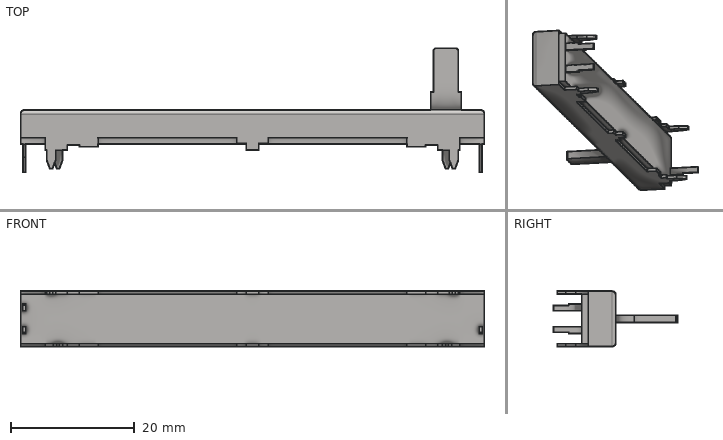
import cadquery as cq


total_depth = 20.1

length = 75.0
height = 9.0
cover_depth = 4.5
cover_fillet = 0.7
skirt_thickness = 0.5

center_tab_half_width = 1.05
center_shoulder_half_width = 2.55
center_shoulder_depth = 5.4
crimp_inner = 25.0
crimp_outer = 28.0
crimp_depth = 6.0
bridge_depth = 5.7
block_inner = 29.9
block_outer = 33.5
block_depth = 6.5

leg_width = 1.5
leg_tip_width = 0.45
leg_taper_depth = 8.1
leg_tip_depth = 9.5
upper_leg_center = 32.55
lower_leg_center = 31.4

base_front_depth = 5.55
base_height = height - 2 * skirt_thickness

pin_thickness = 0.45
pin_end_gap = 0.4
pin_inner_z = 1.3
pin_root_width = 1.1
pin_tip_width = 0.9
pin_step_depth = 7.65
pin_tip_depth = 10.1

lever_center_x = 31.3
lever_thickness = 1.2
foot_width = 4.95
foot_length = 2.9
lever_width = 4.05
lever_length = total_depth - pin_tip_depth
lever_chamfer = 0.3


def plate_outline(points, thickness, middle_z):
    """Plate with the given XY outline, centred on middle_z."""
    sketch = cq.Workplane("XY").workplane(offset=middle_z - thickness / 2)
    return sketch.polyline(points).close().extrude(thickness)


def make_leg(center_x, middle_z):
    """Snap-in leg with a tapered tip."""
    half_width = leg_width / 2
    half_tip = leg_tip_width / 2
    points = [
        (center_x - half_width, -cover_depth),
        (center_x - half_width, -leg_taper_depth),
        (center_x - half_tip, -leg_tip_depth),
        (center_x + half_tip, -leg_tip_depth),
        (center_x + half_width, -leg_taper_depth),
        (center_x + half_width, -cover_depth),
    ]
    return plate_outline(points, skirt_thickness, middle_z)


def make_center_tab(middle_z):
    """Stepped tab at the middle of a skirt."""
    points = [
        (-center_shoulder_half_width, -cover_depth),
        (-center_shoulder_half_width, -center_shoulder_depth),
        (-center_tab_half_width, -center_shoulder_depth),
        (-center_tab_half_width, -block_depth),
        (center_tab_half_width, -block_depth),
        (center_tab_half_width, -center_shoulder_depth),
        (center_shoulder_half_width, -center_shoulder_depth),
        (center_shoulder_half_width, -cover_depth),
    ]
    return plate_outline(points, skirt_thickness, middle_z)


def make_end_tab(side, middle_z):
    """Stepped tab near one end of a skirt: crimp, bridge and leg block."""
    points = [
        (side * crimp_inner, -cover_depth),
        (side * crimp_inner, -crimp_depth),
        (side * crimp_outer, -crimp_depth),
        (side * crimp_outer, -bridge_depth),
        (side * block_inner, -bridge_depth),
        (side * block_inner, -block_depth),
        (side * block_outer, -block_depth),
        (side * block_outer, -cover_depth),
    ]
    return plate_outline(points, skirt_thickness, middle_z)


def make_cover():
    """Cover with a rounded mounting face and tabbed skirts on its two long sides."""
    cover = (
        cq.Workplane("XY")
        .box(length, cover_depth, height)
        .translate((0, -cover_depth / 2, 0))
        .faces(">Y")
        .edges()
        .fillet(cover_fillet)
    )
    skirt_z = (height - skirt_thickness) / 2
    for middle_z, leg_center in ((skirt_z, upper_leg_center), (-skirt_z, lower_leg_center)):
        cover = cover.union(make_center_tab(middle_z))
        for side in (-1, 1):
            cover = cover.union(make_end_tab(side, middle_z))
            cover = cover.union(make_leg(side * leg_center, middle_z))
    return cover


def make_pin(side_x, side_z):
    """Flat terminal pin, narrowed on its outer edge towards the tip."""
    root_z = side_z * (pin_inner_z + pin_root_width)
    tip_z = side_z * (pin_inner_z + pin_tip_width)
    inner_z = side_z * pin_inner_z
    middle_x = side_x * (length / 2 - pin_end_gap - pin_thickness / 2)
    points = [
        (-base_front_depth, inner_z),
        (-pin_tip_depth, inner_z),
        (-pin_tip_depth, tip_z),
        (-pin_step_depth, tip_z),
        (-pin_step_depth, root_z),
        (-base_front_depth, root_z),
    ]
    sketch = cq.Workplane("YZ").workplane(offset=middle_x - pin_thickness / 2)
    return sketch.polyline(points).close().extrude(pin_thickness)


def make_base():
    """Base plate between the skirts, with two pins at the -X end and one at the +X end."""
    base_thickness = base_front_depth - cover_depth
    base = (
        cq.Workplane("XY")
        .box(length, base_thickness, base_height)
        .translate((0, -cover_depth - base_thickness / 2, 0))
    )
    for side_x, side_z in ((-1, 1), (-1, -1), (1, -1)):
        base = base.union(make_pin(side_x, side_z))
    return base


def make_lever():
    """Flat lever standing on the mounting face, with a wider foot and a chamfered tip."""
    half_foot = foot_width / 2
    half_width = lever_width / 2
    points = [
        (lever_center_x - half_foot, 0),
        (lever_center_x - half_foot, foot_length),
        (lever_center_x - half_width, foot_length),
        (lever_center_x - half_width, lever_length),
        (lever_center_x + half_width, lever_length),
        (lever_center_x + half_width, foot_length),
        (lever_center_x + half_foot, foot_length),
        (lever_center_x + half_foot, 0),
    ]
    lever = plate_outline(points, lever_thickness, 0)
    return lever.faces(">Y").edges("|Z").chamfer(lever_chamfer)


cover = make_cover()
base = make_base()
lever = make_lever()

result = cq.Compound.makeCompound([cover.val(), base.val(), lever.val()])